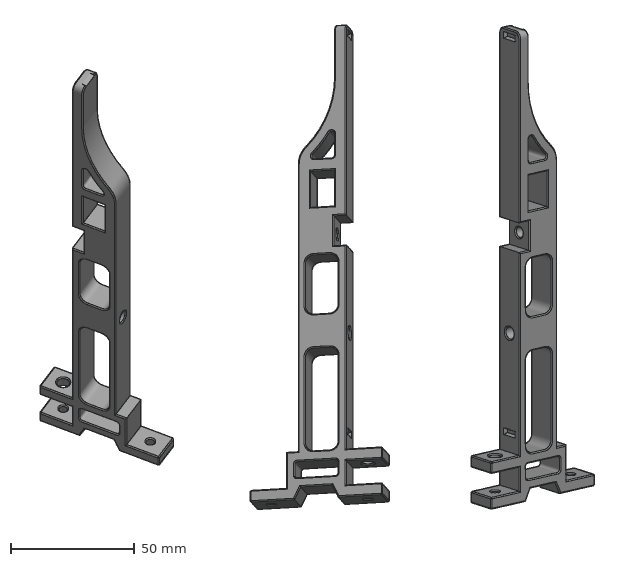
import cadquery as cq
import math

height = 198.0
thickness = 13.0
total_width = 55.0

stem_width = 20.0
blade_width = 5.0
blade_corner_radius = 3.0
shoulder_radius = 40.0
shoulder_round_radius = 9.9
shoulder_start_z = 176.0

lug_length = 15.0
lug_thickness = 5.0
foot_width = total_width - 2 * lug_length
foot_height = 20.0
foot_relief_height = 5.1
foot_relief_bottom_inset = 3.4
foot_relief_top_inset = 6.0

edge_chamfer = 0.5

notch_bottom_z = 105.3
notch_top_z = 117.8
notch_depth = 5.1

window_wall = 3.0 + edge_chamfer
stem_window_x = (window_wall, 17.0)
lower_window_z = (20.0, 63.0)
upper_window_z = (77.2, 102.0)
stem_window_radius = 3.5
foot_window_x = (window_wall, foot_width - window_wall)
foot_window_z = (9.1, 15.8)
foot_window_radius = 1.2
square_window_x = (blade_width, 14.8)
square_window_z = (122.0, 137.0)
corner_window_left = blade_width
corner_window_bottom = 142.2
corner_window_wall = 4.4
corner_window_radius = 1.2

lug_hole_diameter = 3.4
access_hole_diameter = 5.1
cross_hole_diameter = 5.1
cross_hole_z = 70.0
notch_hole_diameter = 4.4
notch_hole_depth = 9.9
notch_hole_z = (notch_bottom_z + notch_top_z) / 2

slot_length = 7.0
slot_mouth_height = 2.8
slot_floor_height = 1.8
slot_depth = 2.0
slot_centers_z = (28.1, 194.8)

ramp_start_x = 3.2
ramp_drop = 0.5

hollow_x = blade_width + shoulder_radius
hollow_z = shoulder_start_z
round_x = stem_width - shoulder_round_radius
center_distance = shoulder_radius + shoulder_round_radius
round_z = hollow_z - math.sqrt(center_distance**2 - (hollow_x - round_x) ** 2)
shoulder_angle = math.atan2(hollow_z - round_z, hollow_x - round_x)


def polar(center_x, center_z, radius, angle):
    return (center_x + radius * math.cos(angle), center_z + radius * math.sin(angle))


def through(sketch):
    """Extrude an XZ outline symmetrically over the full thickness."""
    return sketch.extrude(thickness / 2, both=True)


def front_outline():
    return cq.Workplane("XZ")


def block(x_range, z_range):
    return through(
        front_outline()
        .moveTo(sum(x_range) / 2, sum(z_range) / 2)
        .rect(x_range[1] - x_range[0], z_range[1] - z_range[0])
    )


def stem():
    outline = (
        front_outline()
        .moveTo(0, 0)
        .lineTo(stem_width, 0)
        .lineTo(stem_width, round_z)
        .threePointArc(
            polar(round_x, round_z, shoulder_round_radius, shoulder_angle / 2),
            polar(round_x, round_z, shoulder_round_radius, shoulder_angle),
        )
        .threePointArc(
            polar(hollow_x, hollow_z, shoulder_radius, math.pi + shoulder_angle / 2),
            (blade_width, shoulder_start_z),
        )
        .lineTo(blade_width, height)
        .lineTo(0, height)
        .close()
    )
    return through(outline).faces(">Z").edges("|X").fillet(blade_corner_radius)


def lug_bar(x_range, bottom_z, tips):
    """Flat bar whose exposed tip edges are bevelled."""
    bar = block(x_range, (bottom_z, bottom_z + lug_thickness))
    for tip in tips:
        bar = bar.faces(tip).edges("|Y").chamfer(edge_chamfer)
    return bar


def foot():
    body = block((0, foot_width), (0, foot_height))
    lower_lugs = lug_bar((-lug_length, foot_width + lug_length), 0, ("<X", ">X"))
    upper_lug = lug_bar((-lug_length, stem_width), foot_height - lug_thickness, ("<X",))
    return body.union(lower_lugs).union(upper_lug)


def foot_relief():
    return through(
        front_outline().polyline(
            [
                (foot_relief_bottom_inset, 0),
                (foot_relief_top_inset, foot_relief_height),
                (foot_width - foot_relief_top_inset, foot_relief_height),
                (foot_width - foot_relief_bottom_inset, 0),
            ]
        ).close()
    )


def rounded_window(x_range, z_range, radius):
    return block(x_range, z_range).edges("|Y").fillet(radius)


def corner_window():
    """Three-sided window whose long side runs parallel to the shoulder."""
    arc_radius = shoulder_radius + corner_window_wall
    top_angle = math.pi + math.acos((hollow_x - corner_window_left) / arc_radius)
    right_angle = math.pi + math.asin((hollow_z - corner_window_bottom) / arc_radius)
    outline = (
        front_outline()
        .moveTo(corner_window_left, corner_window_bottom)
        .lineTo(*polar(hollow_x, hollow_z, arc_radius, right_angle))
        .threePointArc(
            polar(hollow_x, hollow_z, arc_radius, (top_angle + right_angle) / 2),
            polar(hollow_x, hollow_z, arc_radius, top_angle),
        )
        .close()
    )
    return through(outline).edges("|Y").fillet(corner_window_radius)


def ramp():
    """Sloping cut between the two rounded corners at the top of the blade."""
    outline = front_outline().polyline(
        [(ramp_start_x, height), (blade_width, height - ramp_drop), (blade_width, height)]
    ).close()
    return outline.extrude(thickness / 2 - blade_corner_radius, both=True)


def bore(start, direction, diameter, depth):
    return cq.Workplane(cq.Plane(origin=start, normal=direction)).circle(diameter / 2).extrude(depth)


def mouth(start, direction, diameter):
    """Conical bevel at the mouth of a hole, narrowing along direction."""
    radius = diameter / 2
    cone = cq.Solid.makeCone(
        radius + edge_chamfer, radius, edge_chamfer, cq.Vector(*start), cq.Vector(*direction)
    )
    return cq.Workplane(cone)


def through_hole(start, direction, diameter, depth):
    end = tuple(s + d * depth for s, d in zip(start, direction))
    reverse = tuple(-d for d in direction)
    hole = bore(start, direction, diameter, depth)
    return hole.union(mouth(start, direction, diameter)).union(mouth(end, reverse, diameter))


def blind_hole(start, direction, diameter, depth):
    return bore(start, direction, diameter, depth).union(mouth(start, direction, diameter))


def face_slot(z):
    mouth_half = slot_mouth_height / 2
    floor_half = slot_floor_height / 2
    outline = front_outline().polyline(
        [
            (0, z - mouth_half),
            (slot_depth, z - floor_half),
            (slot_depth, z + floor_half),
            (0, z + mouth_half),
        ]
    ).close()
    return outline.extrude(slot_length / 2, both=True)


def cut_all(body, cutters):
    for cutter in cutters:
        body = body.cut(cutter)
    return body


def bevel_front_and_back(body):
    """Bevel the outlines of both flat sides; the rounded blade tip follows by tangency."""
    highest_z = height - blade_corner_radius - edge_chamfer
    outlines = body.faces("<Y or >Y").edges().filter(lambda edge: edge.Center().z < highest_z)
    return outlines.chamfer(edge_chamfer)


left_hole_x = -lug_length / 2
right_hole_x = foot_width + lug_length / 2
up = (0, 0, 1)
right = (1, 0, 0)

openings = [
    foot_relief(),
    block((0, notch_depth), (notch_bottom_z, notch_top_z)),
    rounded_window(stem_window_x, lower_window_z, stem_window_radius),
    rounded_window(stem_window_x, upper_window_z, stem_window_radius),
    rounded_window(foot_window_x, foot_window_z, foot_window_radius),
    block(square_window_x, square_window_z),
    corner_window(),
]
details = [
    through_hole((left_hole_x, 0, 0), up, lug_hole_diameter, lug_thickness),
    through_hole((right_hole_x, 0, 0), up, lug_hole_diameter, lug_thickness),
    through_hole((left_hole_x, 0, foot_height - lug_thickness), up, access_hole_diameter, lug_thickness),
    through_hole((0, 0, cross_hole_z), right, cross_hole_diameter, stem_width),
    blind_hole((notch_depth, 0, notch_hole_z), right, notch_hole_diameter, notch_hole_depth),
    ramp(),
]
details += [face_slot(z) for z in slot_centers_z]

plain_body = cut_all(stem().union(foot()), openings)
result = cut_all(bevel_front_and_back(plain_body), details)